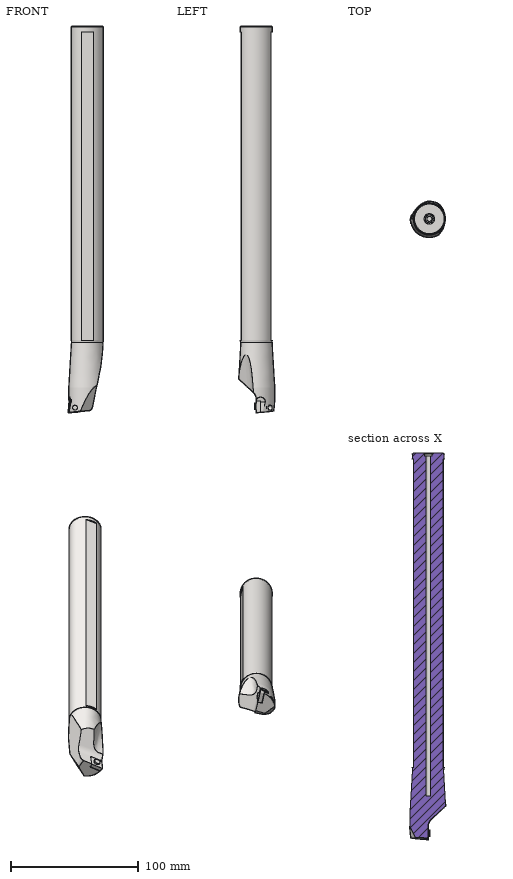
import cadquery as cq
import math


overall_length = 304.8
shank_radius = 12.7
shank_bottom_z = 57.2
end_chamfer = 1.0
flat_distance = 11.8
flat_top_z = overall_length - 5.0

bore_diameter = 4.0
bore_depth = 270.0
counterbore_diameter = 6.2
counterbore_depth = 2.5
countersink_diameter = 8.2

neck_radius = 12.45
neck_z = 55.5
head_radius = 14.57
head_x = -0.15
head_y = -0.2
cone_bottom_z = 20.0
head_bottom_z = 0.3
cut_margin = 40.0

back_mid = (10.9, 38.0)
back_knee = (7.2, cone_bottom_z)
back_corner = (4.3, 5.2)
back_corner_mid = (2.8, 2.5)
back_corner_end = (-0.4, 1.4)

facet_top_x = 5.05
facet_run = math.radians(60.5)
facet_turn = math.radians(45.0)

rake_top_z = 10.5
ramp_angle = math.radians(47.4)
ramp_radius = 8.0

groove_z = 31.0
groove_tangent = (-6.6, 7.6)
groove_wall_angle = math.radians(58.0)
groove_radius = 9.0
groove_slope_x = -0.2
groove_slope_y = 0.085

insert_tip_x = -15.2
insert_circle = 9.525
insert_thickness = 3.5
insert_angle = math.radians(80.0)
lead_angle = math.radians(5.0)
insert_clearance = 7.0
nose_radius = 0.8
screw_head_diameter = 5.0
screw_head_height = 1.2

side_inset = 0.6
side_clearance = math.radians(7.0)
bottom_inset = 0.2
bottom_clearance = math.radians(2.0)

relief_radius = 3.9
relief_z = 8.6
relief_floor_radius = 13.6
relief_angle = 194.0

outlet_diameter = 3.8
outlet_x = -9.7
outlet_z = 4.2
outlet_floor_y = -8.0


def make_blank():
    """Shank, collar, cone and lower cylinder in one piece."""
    shank = (
        cq.Workplane("XY", origin=(0, 0, shank_bottom_z))
        .circle(shank_radius)
        .extrude(overall_length - shank_bottom_z)
        .faces(">Z")
        .chamfer(end_chamfer)
    )
    collar = (
        cq.Workplane("XY", origin=(0, 0, neck_z))
        .circle(neck_radius)
        .workplane(offset=shank_bottom_z - neck_z)
        .circle(shank_radius)
        .loft(ruled=True)
    )
    head_profile = [
        (0, head_bottom_z),
        (-head_radius, head_bottom_z),
        (-head_radius, cone_bottom_z),
        (-neck_radius, neck_z),
        (0, neck_z),
    ]
    head = (
        cq.Workplane("XZ", origin=(head_x, head_y, 0))
        .polyline(head_profile)
        .close()
        .revolve(360, (0, 0), (0, 1))
    )
    return shank.union(collar).union(head)


def make_shank_flat(side):
    """Cutter for the long flat on the +Y (side = 1) or -Y (side = -1) side."""
    depth = shank_radius
    length = flat_top_z - shank_bottom_z
    return (
        cq.Workplane("XY")
        .box(2 * shank_radius, depth, length, centered=(True, True, False))
        .translate((0, side * (flat_distance + depth / 2), shank_bottom_z))
    )


def make_bore():
    """Stepped and countersunk coolant bore, open at the shank end."""
    end = cq.Workplane("XY", origin=(0, 0, overall_length))
    bore = end.circle(bore_diameter / 2).extrude(-bore_depth)
    counterbore = end.circle(counterbore_diameter / 2).extrude(-counterbore_depth)
    countersink_depth = (countersink_diameter - counterbore_diameter) / 2
    countersink = end.circle(countersink_diameter / 2).extrude(-countersink_depth, taper=45)
    return bore.union(counterbore).union(countersink)


def make_back_cut():
    """Cutter that curves the +X side of the head in toward the tip."""
    return (
        cq.Workplane("XZ")
        .moveTo(neck_radius, neck_z)
        .threePointArc(back_mid, back_knee)
        .lineTo(*back_corner)
        .threePointArc(back_corner_mid, back_corner_end)
        .lineTo(back_corner_end[0], -cut_margin)
        .lineTo(cut_margin, -cut_margin)
        .lineTo(cut_margin, neck_z)
        .close()
        .extrude(cut_margin, both=True)
    )


def make_facet_cut():
    """Half-space cutter for the flat facet, which starts at the foot of the cone."""
    start_y = head_y - math.sqrt(head_radius**2 - (facet_top_x - head_x) ** 2)
    normal = (
        math.cos(facet_turn) * math.sin(facet_run),
        -math.sin(facet_turn),
        -math.cos(facet_turn) * math.cos(facet_run),
    )
    plane = cq.Plane(origin=(facet_top_x, start_y, cone_bottom_z), normal=normal)
    return cq.Workplane(plane).rect(2 * cut_margin, 2 * cut_margin).extrude(cut_margin)


def make_rake_cut():
    """Cutter that opens the +Y side: rake face at Y = 0, a curve, then the ramp."""
    curve_center_y = ramp_radius
    half = ramp_angle / 2
    curve_mid = (
        curve_center_y - ramp_radius * math.cos(half),
        rake_top_z + ramp_radius * math.sin(half),
    )
    ramp_start = (
        curve_center_y - ramp_radius * math.cos(ramp_angle),
        rake_top_z + ramp_radius * math.sin(ramp_angle),
    )
    ramp_end_z = ramp_start[1] + (cut_margin - ramp_start[0]) / math.tan(ramp_angle)
    return (
        cq.Workplane("YZ")
        .moveTo(0, -cut_margin)
        .lineTo(0, rake_top_z)
        .threePointArc(curve_mid, ramp_start)
        .lineTo(cut_margin, ramp_end_z)
        .lineTo(cut_margin, -cut_margin)
        .close()
        .extrude(cut_margin, both=True)
    )


def make_groove_cut():
    """Cutter for the chip groove: a flat wall and a concave floor, swept on a slant."""
    tangent_x, tangent_y = groove_tangent
    center_x = tangent_x - groove_radius * math.sin(groove_wall_angle)
    center_y = tangent_y + groove_radius * math.cos(groove_wall_angle)
    half = groove_wall_angle / 2
    floor_mid = (
        center_x + groove_radius * math.sin(half),
        center_y - groove_radius * math.cos(half),
    )
    floor_start = (center_x, center_y - groove_radius)
    wall_end = (
        tangent_x + cut_margin * math.cos(groove_wall_angle),
        tangent_y + cut_margin * math.sin(groove_wall_angle),
    )
    rise = shank_bottom_z
    wire = (
        cq.Workplane("XY")
        .moveTo(-cut_margin, floor_start[1])
        .lineTo(*floor_start)
        .threePointArc(floor_mid, groove_tangent)
        .lineTo(*wall_end)
        .lineTo(-cut_margin, wall_end[1])
        .close()
        .val()
        .translate(cq.Vector(-groove_slope_x * groove_z, -groove_slope_y * groove_z, 0))
    )
    sweep = cq.Vector(groove_slope_x * rise, groove_slope_y * rise, rise)
    return cq.Workplane(obj=cq.Solid.extrudeLinear(wire, [], sweep))


def make_side_clearance_cut():
    """Cutter that sets the head back from the insert's side edge."""
    normal = cq.Vector(
        -math.cos(lead_angle) * math.cos(side_clearance),
        -math.sin(side_clearance),
        math.sin(lead_angle) * math.cos(side_clearance),
    )
    plane = cq.Plane(origin=(insert_tip_x + side_inset, 0, 0), normal=normal)
    half_space = cq.Workplane(plane).rect(2 * cut_margin, 2 * cut_margin).extrude(cut_margin)
    below_relief = cq.Workplane("XY", origin=(0, 0, relief_z)).rect(
        3 * cut_margin, 3 * cut_margin).extrude(-cut_margin)
    return half_space.intersect(below_relief)


def make_bottom_clearance_cut():
    """Cutter that sets the head back from the insert's bottom edge."""
    normal = cq.Vector(
        math.sin(lead_angle) * math.cos(bottom_clearance),
        -math.sin(bottom_clearance),
        -math.cos(lead_angle) * math.cos(bottom_clearance),
    )
    plane = cq.Plane(origin=(insert_tip_x, 0, bottom_inset), normal=normal)
    return cq.Workplane(plane).rect(2 * cut_margin, 2 * cut_margin).extrude(cut_margin)


def make_relief_cut():
    """Half-round, flat-floored cutter for the relief above the insert."""
    half_round = (
        cq.Workplane("YZ", origin=(relief_floor_radius, 0, relief_z))
        .moveTo(-relief_radius, 0)
        .threePointArc((0, relief_radius), (relief_radius, 0))
        .close()
        .extrude(relief_floor_radius)
    )
    return half_round.rotate((0, 0, 0), (0, 0, 1), relief_angle)


def make_outlet():
    """Blind coolant outlet, drilled into the head from the -Y side."""
    floor = cq.Workplane("XZ", origin=(outlet_x, outlet_floor_y, outlet_z))
    return floor.circle(outlet_diameter / 2).extrude(cut_margin)


def make_insert():
    """Tapered rhombic insert with its raised screw head."""
    side = insert_circle / math.sin(insert_angle)
    inner_side = side - 2 * nose_radius / math.sin(insert_angle)
    nose_x = insert_tip_x + nose_radius
    nose_z = nose_radius
    run = inner_side * math.cos(lead_angle)
    offset = inner_side * math.sin(lead_angle)
    nose_centers = [
        (nose_x, nose_z),
        (nose_x + run, nose_z + offset),
        (nose_x + run + offset, nose_z + offset + run),
        (nose_x + offset, nose_z + run),
    ]
    plate = (
        cq.Workplane("XZ")
        .polyline(nose_centers)
        .close()
        .offset2D(nose_radius)
        .extrude(insert_thickness, taper=insert_clearance)
    )
    half_diagonal = (run + offset) / 2
    screw_head = (
        cq.Workplane("XZ", origin=(nose_x + half_diagonal, 0, nose_z + half_diagonal))
        .circle(screw_head_diameter / 2)
        .extrude(-screw_head_height)
    )
    return plate.union(screw_head)


insert = make_insert()

bar = make_blank().cut(make_bore())
for flat_side in (1, -1):
    bar = bar.cut(make_shank_flat(flat_side))
bar = bar.cut(make_back_cut())
bar = bar.cut(make_facet_cut())
bar = bar.cut(make_groove_cut())
bar = bar.cut(make_rake_cut())
bar = bar.cut(make_side_clearance_cut())
bar = bar.cut(make_bottom_clearance_cut())
bar = bar.cut(make_relief_cut())
bar = bar.cut(make_outlet())
bar = bar.cut(insert)

result = cq.Compound.makeCompound([bar.solids().val(), insert.solids().val()])